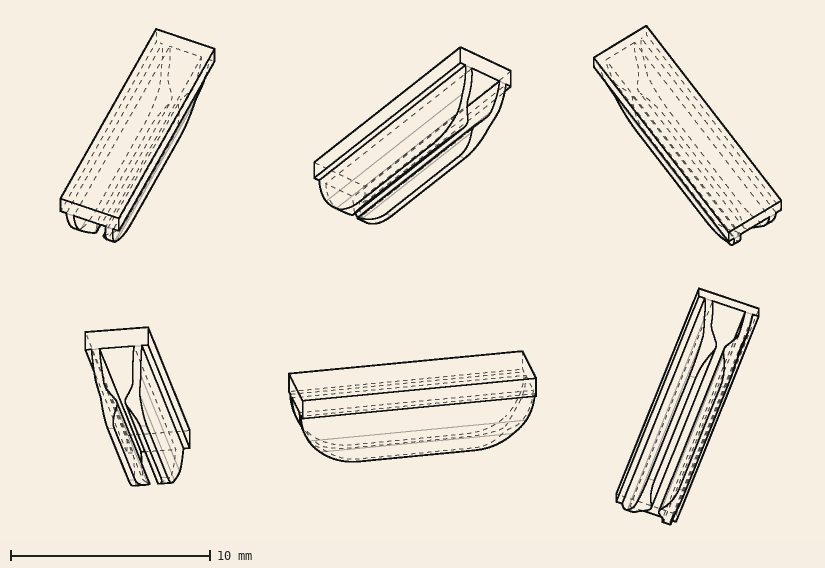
import cadquery as cq

length = 12.0
strip_width = 3.2
strip_height = 1.0

leg_depth = 3.0
end_radius = leg_depth
leg_thickness = 0.41
root_outer = 1.28
bend_outer = 1.16
foot_outer = 1.0
bend_z = -1.49
foot_z = -2.25

blend_x = 0.75
blend_z = -1.65
bead_start_x = 0.61
bead_start_z = -1.97
bead_tip_x = 0.26
bead_tip_top_z = -2.34
bead_tip_bottom_z = -2.59
foot_inner = 0.66


def make_strip():
    return cq.Workplane("XY").box(strip_width, length, strip_height, centered=(True, True, False))


def make_leg():
    """Extrude the leg section on the +X side along the full length."""
    leg_direction = (blend_x - (root_outer - leg_thickness), blend_z)
    bead_direction = (-1, -1)
    return (
        cq.Workplane("XZ")
        .moveTo(root_outer - leg_thickness, 0)
        .lineTo(blend_x, blend_z)
        .spline(
            [(bead_start_x, bead_start_z), (bead_tip_x, bead_tip_top_z)],
            tangents=[leg_direction, bead_direction],
            includeCurrent=True,
        )
        .tangentArcPoint((bead_tip_x, bead_tip_bottom_z), relative=False)
        .lineTo(foot_inner, -leg_depth)
        .lineTo(foot_outer, -leg_depth)
        .lineTo(foot_outer, foot_z)
        .lineTo(bend_outer, bend_z)
        .lineTo(root_outer, 0)
        .close()
        .extrude(length / 2, both=True)
    )


def make_end_envelope():
    """Side outline that rounds the lower corners at both ends of the legs."""
    half_length = length / 2
    flat_half = half_length - end_radius
    return (
        cq.Workplane("YZ")
        .moveTo(-half_length, 0)
        .radiusArc((-flat_half, -leg_depth), -end_radius)
        .lineTo(flat_half, -leg_depth)
        .radiusArc((half_length, 0), -end_radius)
        .close()
        .extrude(strip_width / 2, both=True)
    )


leg = make_leg().intersect(make_end_envelope())
result = make_strip().union(leg).union(leg.mirror("YZ"))